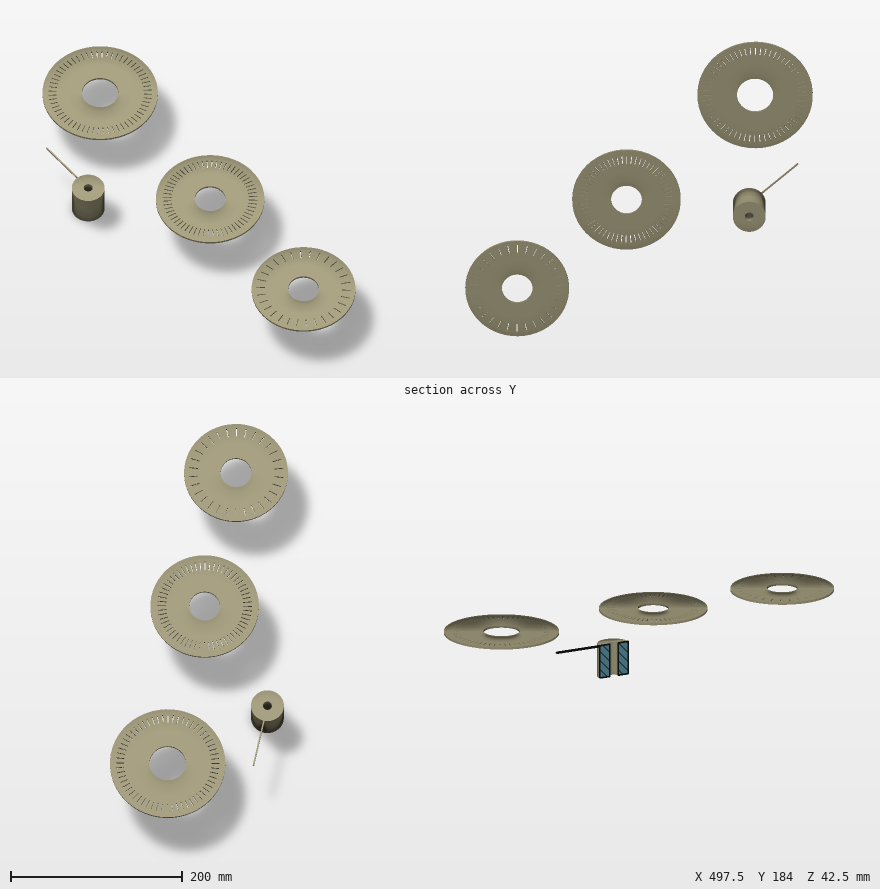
import cadquery as cq

DISC_THICKNESS = 2.5
SLOT_WIDTH = 1.0

LARGE_DISC_DIAMETER = 134.5
LARGE_BORE_DIAMETER = 42.5
LARGE_SLOT_INNER_RADIUS = 51.0
LARGE_SLOT_OUTER_RADIUS = 60.0
LARGE_SLOT_COUNT = 60

MIDDLE_DISC_DIAMETER = 126.5
MIDDLE_DISC_X = 200.0
MIDDLE_SLOT_COUNT = 60

SMALL_DISC_DIAMETER = 121.0
SMALL_SLOT_COUNT = 30

SHARED_BORE_DIAMETER = 36.0
SHARED_SLOT_INNER_RADIUS = 45.0
SHARED_SLOT_OUTER_RADIUS = 55.0

OVERALL_LENGTH = 497.5
SMALL_DISC_X = OVERALL_LENGTH - LARGE_DISC_DIAMETER / 2 - SMALL_DISC_DIAMETER / 2

OVERALL_WIDTH = 184.0
OVERALL_HEIGHT = 42.5
DRUM_DIAMETER = 38.5
DRUM_BORE_DIAMETER = 10.5
DRUM_HEIGHT = OVERALL_HEIGHT - DISC_THICKNESS
ARM_TIP_X = 20.0
ARM_LENGTH = 56.5
ARM_WIDTH = 1.75
ARM_THICKNESS = 1.75
ARM_REACH = ARM_LENGTH + DRUM_DIAMETER / 2
DRUM_X = ARM_TIP_X + ARM_REACH
DRUM_Y = LARGE_DISC_DIAMETER / 2 + DRUM_DIAMETER / 2 - OVERALL_WIDTH


def slotted_disc(center_x, diameter, bore_diameter, slot_inner_radius, slot_outer_radius, slot_count):
    """Flat ring standing on Z = 0, with radial slots cut right through it."""
    disc = (
        cq.Workplane("XY")
        .circle(diameter / 2)
        .circle(bore_diameter / 2)
        .extrude(DISC_THICKNESS)
    )
    slot_length = slot_outer_radius - slot_inner_radius
    slot_middle_radius = (slot_outer_radius + slot_inner_radius) / 2
    slots = (
        cq.Workplane("XY")
        .polarArray(slot_middle_radius, 0, 360, slot_count)
        .rect(slot_length, SLOT_WIDTH)
        .extrude(DISC_THICKNESS)
    )
    return disc.cut(slots).translate((center_x, 0, 0))


def drum_with_arm():
    """Bored drum hanging below Z = 0, with the arm pointing toward -X at its top."""
    drum = cq.Workplane("XY").circle(DRUM_DIAMETER / 2).extrude(-DRUM_HEIGHT)
    arm = (
        cq.Workplane("XY")
        .center(-ARM_REACH / 2, 0)
        .rect(ARM_REACH, ARM_WIDTH)
        .extrude(-ARM_THICKNESS)
    )
    bore = cq.Workplane("XY").circle(DRUM_BORE_DIAMETER / 2).extrude(-DRUM_HEIGHT)
    return drum.union(arm).cut(bore).translate((DRUM_X, DRUM_Y, 0))


large_disc = slotted_disc(
    0,
    LARGE_DISC_DIAMETER,
    LARGE_BORE_DIAMETER,
    LARGE_SLOT_INNER_RADIUS,
    LARGE_SLOT_OUTER_RADIUS,
    LARGE_SLOT_COUNT,
)
middle_disc = slotted_disc(
    MIDDLE_DISC_X,
    MIDDLE_DISC_DIAMETER,
    SHARED_BORE_DIAMETER,
    SHARED_SLOT_INNER_RADIUS,
    SHARED_SLOT_OUTER_RADIUS,
    MIDDLE_SLOT_COUNT,
)
small_disc = slotted_disc(
    SMALL_DISC_X,
    SMALL_DISC_DIAMETER,
    SHARED_BORE_DIAMETER,
    SHARED_SLOT_INNER_RADIUS,
    SHARED_SLOT_OUTER_RADIUS,
    SMALL_SLOT_COUNT,
)
pointer_drum = drum_with_arm()

result = cq.Compound.makeCompound(
    [large_disc.val(), middle_disc.val(), small_disc.val(), pointer_drum.val()]
)